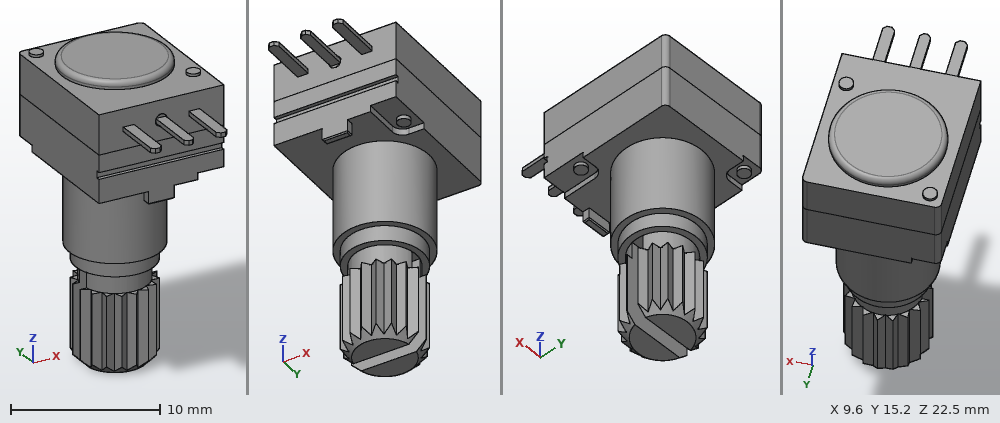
import cadquery as cq
import math


spline_length = 6.0
neck_length = 1.48
collar_length = 1.22
bushing_length = 6.6
base_height = 3.6
cover_height = 3.0
cap_height = 0.6

collar_bottom = spline_length + neck_length
bushing_bottom = collar_bottom + collar_length
base_bottom = bushing_bottom + bushing_length
base_top = base_bottom + base_height
cover_top = base_top + cover_height

housing_width = 9.6
housing_depth = 11.2
back_y = housing_width / 2
front_y = back_y - housing_depth
right_x = housing_width / 2
corner_radius = 0.4

cap_diameter = 8.0
cap_fillet = 0.4

rivet_diameter = 1.0
rivet_offset = 3.87
rivet_top_height = 0.2
rivet_bottom_height = 0.3

bushing_diameter = 7.0
collar_diameter = 6.0
recess_width = 2.0
recess_depth = 0.5
recess_radius = 0.8
groove_height = 0.5
groove_depth = 0.3
groove_below_base_top = 1.3
tab_width = 2.0
tab_thickness = 0.58
tab_length = 1.0
tab_chamfer = 0.1

shaft_diameter = 5.0
spline_tip_diameter = 6.0
spline_root_diameter = 4.9
spline_teeth = 18
spline_chamfer = 0.76
slot_width = 1.0

terminal_length = 4.0
terminal_thickness = 0.34
terminal_pitch = 2.52
terminal_tip_chamfer = 0.25
side_terminal_width = 0.83
middle_terminal_width = 0.76
terminal_z = cover_top - 1.5
terminal_hole_diameter = 0.9
terminal_hole_depth = 0.1


def block(x_min, x_max, y_min, y_max, z_min, z_max):
    """Box between two limits along each axis."""
    size = (x_max - x_min, y_max - y_min, z_max - z_min)
    return cq.Workplane("XY").box(*size, centered=False).translate((x_min, y_min, z_min))


def cylinder(diameter, z_min, z_max, x=0, y=0):
    """Upright cylinder between two heights."""
    return cq.Workplane("XY", origin=(x, y, z_min)).circle(diameter / 2).extrude(z_max - z_min)


def housing_block(z_min, z_max):
    """Slab with the housing outline: square front corners and rounded back corners."""
    slab = block(-right_x, right_x, front_y, back_y, z_min, z_max)
    return slab.edges("|Z and >Y").fillet(corner_radius)


def rivets(z_min, z_max):
    """Rivet shanks at the back left and the front right."""
    back_left = cylinder(rivet_diameter, z_min, z_max, -rivet_offset, rivet_offset)
    front_right = cylinder(rivet_diameter, z_min, z_max, rivet_offset, -rivet_offset)
    return back_left.add(front_right).combine()


def make_cover():
    """Upper housing with a round cap, two rivet holes and a shallow hole for the middle terminal."""
    cap = cylinder(cap_diameter, cover_top, cover_top + cap_height)
    cap = cap.faces(">Z").edges().fillet(cap_fillet)
    cover = housing_block(base_top, cover_top).union(cap)
    cover = cover.cut(rivets(base_top, cover_top))
    hole = (
        cq.Workplane("XZ", origin=(0, front_y, terminal_z))
        .circle(terminal_hole_diameter / 2)
        .extrude(-terminal_hole_depth)
    )
    return cover.cut(hole)


def rivet_recesses():
    """Corner recesses under the base that clear the rivets, each with one rounded inner corner."""
    recess_top = base_bottom + recess_depth
    inner_x = right_x - recess_width
    back_left = block(-right_x, -inner_x, back_y - recess_width, back_y, base_bottom, recess_top)
    back_left = back_left.edges("|Z and >X and <Y").fillet(recess_radius)
    rivet_margin = rivet_offset - inner_x
    front_right_end = rivet_margin - rivet_offset
    front_right = block(inner_x, right_x, front_y, front_right_end, base_bottom, recess_top)
    front_right = front_right.edges("|Z and <X and >Y").fillet(recess_radius)
    return back_left.add(front_right).combine()


def make_base():
    """Lower housing with its bushing, groove, locating tab and the rivets that hold the cover."""
    base = housing_block(base_bottom, base_top).cut(rivet_recesses())
    rivet_bottom = base_bottom + recess_depth - rivet_bottom_height
    base = base.union(rivets(rivet_bottom, cover_top + rivet_top_height))

    groove_top = base_top - groove_below_base_top
    groove_back = front_y + groove_depth
    base = base.cut(block(-right_x, right_x, front_y, groove_back, groove_top - groove_height, groove_top))

    tab_back = front_y + tab_thickness
    tab = block(-tab_width / 2, tab_width / 2, front_y, tab_back, base_bottom - tab_length, base_bottom)
    base = base.union(tab.faces("<Z").edges().chamfer(tab_chamfer))

    base = base.union(cylinder(bushing_diameter, bushing_bottom, base_bottom))
    base = base.union(cylinder(collar_diameter, collar_bottom, bushing_bottom))
    return base.cut(cylinder(shaft_diameter, collar_bottom, base_top))


def spline():
    """Splined end of the shaft: pointed teeth, one of them facing the front, and a conical lead-in."""
    half_pitch = math.pi / spline_teeth
    points = []
    for i in range(2 * spline_teeth):
        radius = (spline_root_diameter if i % 2 else spline_tip_diameter) / 2
        angle = i * half_pitch - math.pi / 2
        points.append((radius * math.cos(angle), radius * math.sin(angle)))
    teeth = cq.Workplane("XY").polyline(points).close().extrude(spline_length)
    envelope = cylinder(spline_tip_diameter, 0, spline_length)
    envelope = envelope.faces("<Z").edges().chamfer(spline_chamfer)
    return teeth.intersect(envelope)


def make_shaft():
    """Shaft that runs up through the base, with a cross slot along X below the collar."""
    shaft = spline().union(cylinder(shaft_diameter, spline_length, base_top))
    slot = block(-right_x, right_x, -slot_width / 2, slot_width / 2, 0, collar_bottom)
    return shaft.cut(slot)


def make_terminal(x, width, inner_y):
    """Flat terminal with a chamfered tip, from inner_y out of the front of the housing."""
    z_min = terminal_z - terminal_thickness / 2
    z_max = terminal_z + terminal_thickness / 2
    bar = block(x - width / 2, x + width / 2, front_y - terminal_length, inner_y, z_min, z_max)
    return bar.edges("|Z and <Y").chamfer(terminal_tip_chamfer)


cover = make_cover()
base = make_base()
shaft = make_shaft()
side_terminals = []
for side in (-1, 1):
    side_terminals.append(make_terminal(side * terminal_pitch, side_terminal_width, front_y))
middle_terminal = make_terminal(0, middle_terminal_width, front_y + terminal_hole_depth)

bodies = [cover, base, shaft, middle_terminal, *side_terminals]
result = cq.Compound.makeCompound([body.val() for body in bodies])